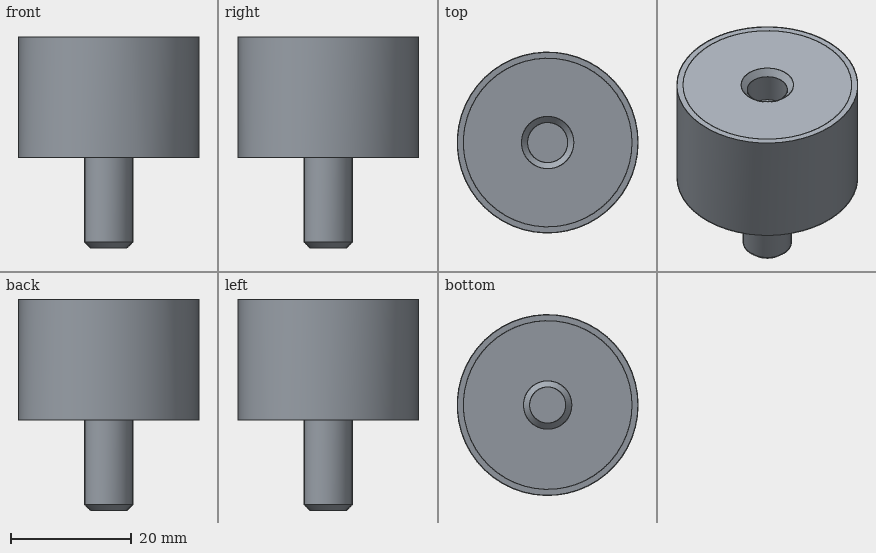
import cadquery as cq

total_height = 35.0
buffer_diameter = 30.0
stud_length = 15.0
buffer_height = total_height - stud_length

rim_width = 1.0
plate_diameter = buffer_diameter - 2 * rim_width
stud_plate_thickness = 2.0

stud_diameter = 8.0
stud_tip_height = 1.0
stud_tip_diameter = stud_diameter - 2 * stud_tip_height

hole_diameter = 6.65
countersink_diameter = 8.68
countersink_depth = (countersink_diameter - hole_diameter) / 2
hole_depth = 6.0
hole_floor_thickness = 2.0
insert_thickness = hole_depth + hole_floor_thickness


def cylinder(diameter, bottom, height):
    """Vertical cylinder on the Z axis."""
    return cq.Workplane("XY").workplane(offset=bottom).circle(diameter / 2).extrude(height)


def cone(bottom_diameter, top_diameter, bottom, height):
    """Vertical truncated cone on the Z axis."""
    return (
        cq.Workplane("XY")
        .workplane(offset=bottom)
        .circle(bottom_diameter / 2)
        .workplane(offset=height)
        .circle(top_diameter / 2)
        .loft(ruled=True)
    )


def make_buffer():
    """Rubber cylinder with a round recess in each end for the metal parts."""
    body = cylinder(buffer_diameter, stud_length, buffer_height)
    lower_recess = cylinder(plate_diameter, stud_length, stud_plate_thickness)
    upper_recess = cylinder(plate_diameter, total_height - insert_thickness, insert_thickness)
    return body.cut(lower_recess).cut(upper_recess)


def make_insert():
    """Upper metal disc with a countersunk blind hole."""
    disc = cylinder(plate_diameter, total_height - insert_thickness, insert_thickness)
    hole = cylinder(hole_diameter, total_height - hole_depth, hole_depth)
    countersink = cone(
        hole_diameter, countersink_diameter, total_height - countersink_depth, countersink_depth
    )
    return disc.cut(hole).cut(countersink)


def make_stud():
    """Lower metal plate with a stud that tapers at its free end."""
    tip = cone(stud_tip_diameter, stud_diameter, 0, stud_tip_height)
    shank = cylinder(stud_diameter, stud_tip_height, stud_length - stud_tip_height)
    plate = cylinder(plate_diameter, stud_length, stud_plate_thickness)
    return tip.union(shank).union(plate)


buffer = make_buffer()
insert = make_insert()
stud = make_stud()

result = cq.Compound.makeCompound([buffer.val(), insert.val(), stud.val()])